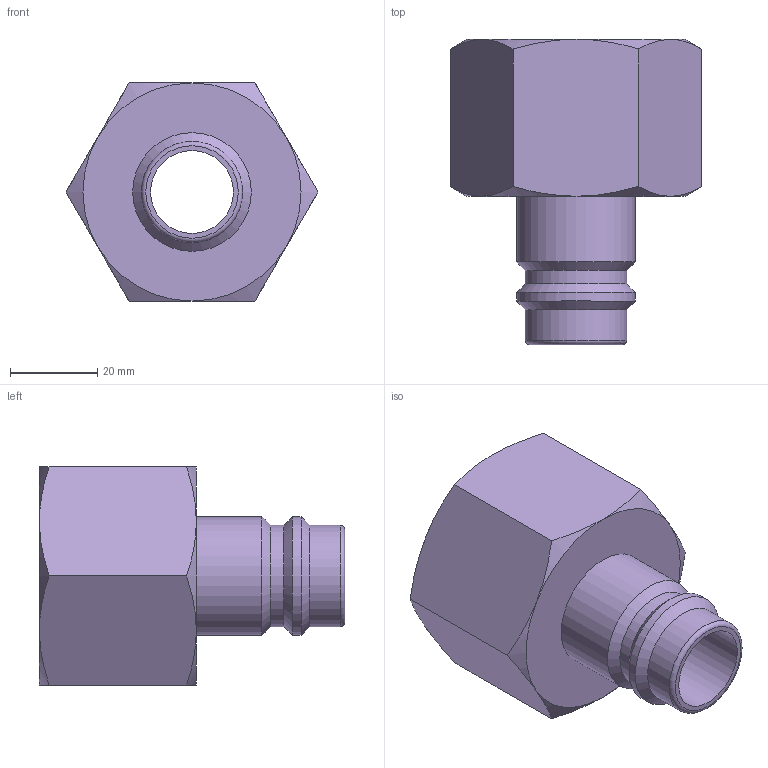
import cadquery as cq
import math

HEX_SIDES = 6
ACROSS_FLATS = 50.0
HEX_LENGTH = 36.0
HEX_CHAMFER_ANGLE = 30.0

TOTAL_LENGTH = 70.0
SHOULDER_DIAMETER = 27.2
NECK_DIAMETER = 23.2
SHANK_LENGTH = 15.0
GROOVE_WIDTH = 3.0
COLLAR_WIDTH = 2.0
TIP_ROUND = 1.0

BORE_DIAMETER = 19.0

FULL_TURN = 360.0

across_corners = ACROSS_FLATS / math.cos(math.pi / HEX_SIDES)
shoulder_radius = SHOULDER_DIAMETER / 2
neck_radius = NECK_DIAMETER / 2
slope_length = shoulder_radius - neck_radius


def revolve_about_y(profile):
    """Revolve a closed (radius, y) profile about the Y axis."""
    return cq.Workplane("XY").polyline(profile).close().revolve(FULL_TURN, (0, 0, 0), (0, 1, 0))


def make_hex_body():
    """Hexagonal prism from y = 0 to -HEX_LENGTH with both ends coned off."""
    prism = cq.Workplane("XZ").polygon(HEX_SIDES, across_corners).extrude(HEX_LENGTH)
    face_radius = ACROSS_FLATS / 2
    corner_radius = across_corners / 2
    chamfer_depth = (corner_radius - face_radius) * math.tan(math.radians(HEX_CHAMFER_ANGLE))
    envelope = revolve_about_y([
        (0, 0),
        (face_radius, 0),
        (corner_radius, -chamfer_depth),
        (corner_radius, chamfer_depth - HEX_LENGTH),
        (face_radius, -HEX_LENGTH),
        (0, -HEX_LENGTH),
    ])
    return prism.intersect(envelope)


def make_nipple():
    """Stepped shank, groove, collar and rounded tip."""
    shank_end = -HEX_LENGTH - SHANK_LENGTH
    groove_start = shank_end - slope_length
    groove_end = groove_start - GROOVE_WIDTH
    collar_start = groove_end - slope_length
    collar_end = collar_start - COLLAR_WIDTH
    tip_start = collar_end - slope_length
    nipple = revolve_about_y([
        (0, -HEX_LENGTH),
        (shoulder_radius, -HEX_LENGTH),
        (shoulder_radius, shank_end),
        (neck_radius, groove_start),
        (neck_radius, groove_end),
        (shoulder_radius, collar_start),
        (shoulder_radius, collar_end),
        (neck_radius, tip_start),
        (neck_radius, -TOTAL_LENGTH),
        (0, -TOTAL_LENGTH),
    ])
    return nipple.faces("<Y").edges().fillet(TIP_ROUND)


def make_bore():
    """Through bore along the whole part."""
    return cq.Workplane("XZ").circle(BORE_DIAMETER / 2).extrude(TOTAL_LENGTH)


result = make_hex_body().union(make_nipple()).cut(make_bore())